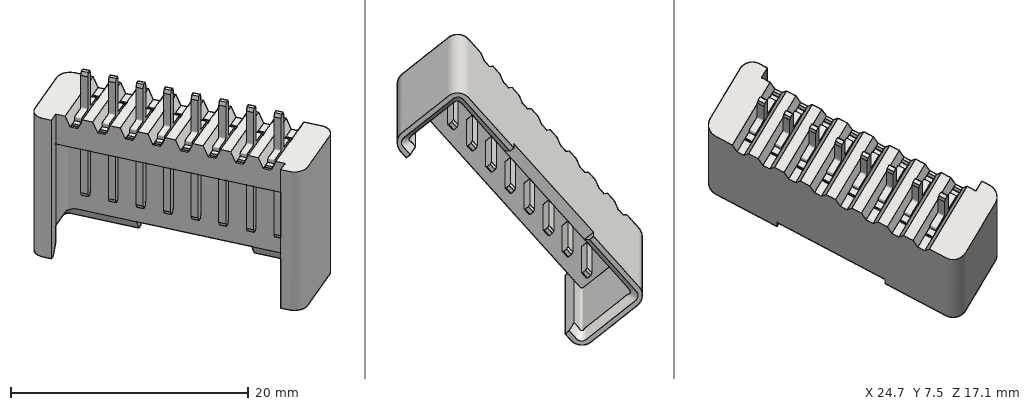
import cadquery as cq
import math


length = 24.7
depth = 7.5
height = 14.0
outer_radius = 1.2
wall = 1.01
header_height = 3.01
header_bottom = height - header_height

lip_length = 1.98
cavity_radius = 0.2
flare_radius = 0.72
flare_height = 1.0
flare_run = 0.57
window_length = 10.42

pin_count = 8
pin_row_length = 17.49
pitch = pin_row_length / (pin_count - 1)
groove_top_width = 1.58
groove_floor_width = 0.67
groove_depth = 1.0
groove_floor = height - groove_depth

pocket_inset = 1.25
pocket_depth = 0.22
pocket_floor = groove_floor - pocket_depth

pin_size = 0.65
pin_top = 17.1
pin_bottom = 4.55
tip_run = 0.15
tip_height = 0.35
pin_y = depth / 2
base_front = 1.53
base_back = 6.1
base_top = height - 0.96
shoulder_inset = 2.0
shoulder_height = 0.4
shoulder_top = base_top + shoulder_height
shoulder_radius = 0.15
root_radius = 0.15


def block(x_size, y_min, y_max, z_min, z_max):
    """Box centred on X = 0 between the given Y and Z limits."""
    return (
        cq.Workplane("XY")
        .box(x_size, y_max - y_min, z_max - z_min, centered=(True, False, False))
        .translate((0, y_min, z_min))
    )


def extrude_side_profile(profile, width):
    """Extrude a closed YZ profile symmetrically about X = 0."""
    return profile.close().extrude(width / 2, both=True)


def make_cavity():
    """Pocket below the header, with a mouth that widens towards the bottom."""
    cavity = block(length - 2 * wall, wall, depth - wall, 0, header_bottom)
    mouth = (
        cq.Workplane("XY")
        .center(0, depth / 2)
        .rect(length - 2 * wall + 2 * flare_run, depth - 2 * wall + 2 * flare_run)
        .extrude(flare_height, taper=math.degrees(math.atan(flare_run / flare_height)))
    )
    return cavity.edges("|Z").fillet(cavity_radius).union(mouth.edges("not #Z").fillet(flare_radius))


def make_groove():
    """V groove with a flat floor, running the full depth of the housing."""
    return (
        cq.Workplane("XZ")
        .moveTo(-groove_top_width / 2, height)
        .lineTo(-groove_floor_width / 2, groove_floor)
        .lineTo(groove_floor_width / 2, groove_floor)
        .lineTo(groove_top_width / 2, height)
        .close()
        .extrude(-depth)
    )


def make_pocket():
    """Shallow recess in the groove floor with sloping ends."""
    profile = (
        cq.Workplane("YZ")
        .moveTo(pocket_inset, groove_floor)
        .lineTo(pocket_inset + pocket_depth, pocket_floor)
        .lineTo(depth - pocket_inset - pocket_depth, pocket_floor)
        .lineTo(depth - pocket_inset, groove_floor)
    )
    return extrude_side_profile(profile, groove_floor_width)


def make_contact():
    """Square pin with wedge tips, standing on a stepped crossbar."""
    half = pin_size / 2
    pin_profile = (
        cq.Workplane("YZ")
        .moveTo(pin_y - half, pin_bottom + tip_height)
        .lineTo(pin_y - half + tip_run, pin_bottom)
        .lineTo(pin_y + half - tip_run, pin_bottom)
        .lineTo(pin_y + half, pin_bottom + tip_height)
        .lineTo(pin_y + half, pin_top - tip_height)
        .lineTo(pin_y + half - tip_run, pin_top)
        .lineTo(pin_y - half + tip_run, pin_top)
        .lineTo(pin_y - half, pin_top - tip_height)
    )
    pin = extrude_side_profile(pin_profile, pin_size)
    base = block(pin_size, base_front, base_back, pocket_floor, base_top)
    shoulder = (
        block(pin_size, shoulder_inset, depth - shoulder_inset, pocket_floor, shoulder_top)
        .edges("|X and >Z").fillet(shoulder_radius)
    )
    root_edges = cq.selectors.BoxSelector(
        (-pin_size, pin_y - pin_size, shoulder_top - root_radius / 2),
        (pin_size, pin_y + pin_size, shoulder_top + root_radius / 2),
    )
    stem = pin.union(shoulder).edges("|X").edges(root_edges).fillet(root_radius)
    return stem.union(base)


front_opening = block(length - 2 * lip_length, 0, wall, 0, height)
back_window = block(window_length, depth / 2, depth, 0, flare_height)
housing = block(length, 0, depth, 0, height).edges("|Z").fillet(outer_radius)
housing = housing.cut(front_opening).cut(make_cavity()).cut(back_window)

groove = make_groove().union(make_pocket())
contact = make_contact()
result = housing
for index in range(pin_count):
    offset = ((index - (pin_count - 1) / 2) * pitch, 0, 0)
    result = result.cut(groove.translate(offset))
    result = result.union(contact.translate(offset))